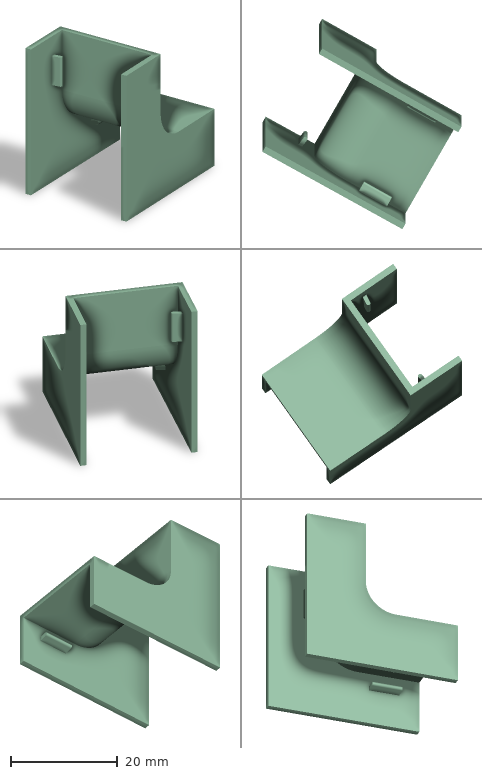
import math

import cadquery as cq

width = 22.6
side = 30.0
half_side = side / 2

wall = 1.2
leg_depth = 11.7
bend_radius = 6.0
wall_lean = 0.1

clip_length = 6.0
clip_end_gap = 4.0
clip_reach = 2.0
clip_thickness = 0.8
clip_root_depth = 7.4
clip_tilt = 8.0

overshoot = 1.0
open_face = -half_side
half_width = width / 2
inner_half_width = half_width - wall


def l_prism(depth, radius, extra):
    """L-shaped YZ profile with a rounded inside corner, running along the full width.

    depth is the leg depth; extra extends the legs past the part's envelope.
    """
    low = open_face - extra
    high = half_side + extra
    top = open_face + depth
    arc_centre = top + radius
    arc_middle = arc_centre - radius * math.sqrt(0.5)
    return (
        cq.Workplane("YZ", origin=(-half_width, 0, 0))
        .moveTo(low, low)
        .lineTo(high, low)
        .lineTo(high, top)
        .lineTo(arc_centre, top)
        .threePointArc((arc_middle, arc_middle), (top, arc_centre))
        .lineTo(top, high)
        .lineTo(low, high)
        .close()
        .extrude(width)
    )


def leaning_block(front_half_width, extra):
    """Block whose sides follow the lean of the side walls, narrowing toward +Y."""
    low = open_face - extra
    high = half_side + extra
    lean_per_length = wall_lean / side
    low_half = front_half_width + lean_per_length * extra
    high_half = front_half_width - lean_per_length * (side + extra)
    return (
        cq.Workplane("XY", origin=(0, 0, low))
        .polyline([(-low_half, low), (low_half, low), (high_half, high), (-high_half, high)])
        .close()
        .extrude(high - low)
    )


def make_channel():
    """U-section channel bent into an L, open at -Y, -Z and both leg ends."""
    outside = l_prism(leg_depth, bend_radius, 0).intersect(leaning_block(half_width, 0))
    inside = l_prism(leg_depth - wall, bend_radius + wall, overshoot)
    cavity = inside.intersect(leaning_block(inner_half_width, overshoot))
    return outside.cut(cavity)


def make_upright_clip():
    """Round-tipped, tilted clip on the -X wall of the upright leg, rooted inside the wall."""
    radius = clip_thickness / 2
    tilt = math.radians(clip_tilt)
    root_embed = wall / 2
    root_to_tip_centre = (clip_reach - radius) / math.cos(tilt)
    clip_bottom = half_side - clip_end_gap - clip_length
    return (
        cq.Workplane("XY")
        .moveTo(-root_embed, -radius)
        .lineTo(root_to_tip_centre, -radius)
        .threePointArc((root_to_tip_centre + radius, 0), (root_to_tip_centre, radius))
        .lineTo(-root_embed, radius)
        .close()
        .extrude(clip_length)
        .rotate((0, 0, 0), (0, 0, 1), clip_tilt)
        .translate((-inner_half_width, open_face + clip_root_depth, clip_bottom))
    )


def swap_y_and_z(shape):
    """Mirror across the plane Y = Z, which carries one leg of the L onto the other."""
    return shape.rotate((0, 0, 0), (1, 0, 0), 90).mirror("XZ")


upright_clip = make_upright_clip()
result = make_channel()
for left_clip in (upright_clip, swap_y_and_z(upright_clip)):
    result = result.union(left_clip).union(left_clip.mirror("YZ"))